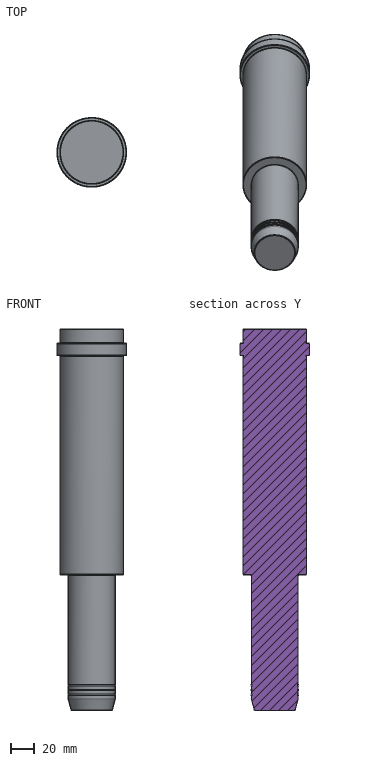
import cadquery as cq
import math

total_height = 323.0
body_bottom = 115.0
body_radius = 27.0
stem_radius = 20.0

collar_radius = 29.5
collar_height = 10.5
collar_top_offset = 12.0

edge_chamfer = 0.5

relief_width = 0.8
relief_depth = 0.2

nose_height = 10.0
nose_angle = 15.0
groove_count = 3
groove_width = 1.0
groove_depth = 0.5
groove_pitch = 4.0

nose_tip_radius = stem_radius - nose_height * math.tan(math.radians(nose_angle))
collar_top = total_height - collar_top_offset
collar_bottom = collar_top - collar_height


def cylinder(radius, bottom, top):
    """Solid cylinder on the Z axis between two heights."""
    return cq.Workplane("XY").workplane(offset=bottom).circle(radius).extrude(top - bottom)


def make_stem():
    """Tapered nose, with a bevelled tip, below a plain cylinder."""
    nose = (
        cq.Workplane("XZ")
        .lineTo(nose_tip_radius, 0)
        .lineTo(stem_radius, nose_height)
        .lineTo(0, nose_height)
        .close()
        .revolve(360, (0, 0, 0), (0, 1, 0))
        .faces("<Z")
        .chamfer(edge_chamfer)
    )
    return nose.union(cylinder(stem_radius, nose_height, body_bottom))


def make_body():
    """Main cylinder with both end edges bevelled."""
    return cylinder(body_radius, body_bottom, total_height).edges().chamfer(edge_chamfer)


def make_collar():
    return cylinder(collar_radius, collar_bottom, collar_top).edges().chamfer(edge_chamfer)


def make_ring(surface_radius, depth, bottom, width):
    """Ring of material to remove from a cylindrical surface."""
    top = bottom + width
    return cylinder(surface_radius, bottom, top).cut(cylinder(surface_radius - depth, bottom, top))


result = make_stem().union(make_body()).union(make_collar())

for index in range(groove_count):
    groove_bottom = nose_height + (index + 1) * groove_pitch - groove_width
    result = result.cut(make_ring(stem_radius, groove_depth, groove_bottom, groove_width))

for surface_radius, relief_bottom in (
    (stem_radius, body_bottom - relief_width),
    (body_radius, collar_bottom - relief_width),
    (body_radius, collar_top),
):
    result = result.cut(make_ring(surface_radius, relief_depth, relief_bottom, relief_width))